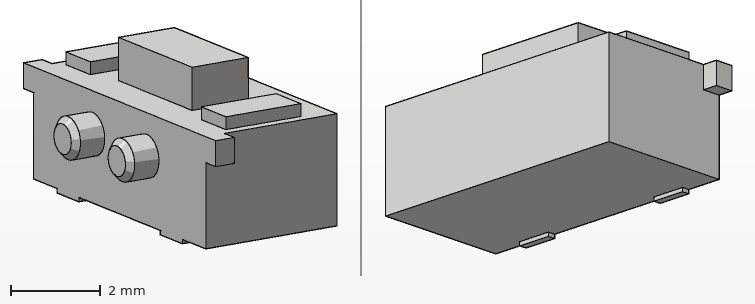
import cadquery as cq

body_width = 7.0
body_depth = 3.5
body_height = 2.6

flange_width = 7.8
flange_depth = 0.5
flange_height = 0.6

top_center_y = 1.7
button_width = 2.995
button_depth = 1.5
button_height = 1.0
pad_width = 1.0
pad_depth = 2.0
pad_height = 0.3
pad_spacing = 5.5

pin_diameter = 1.0
pin_length = 0.795
pin_chamfer = 0.15
pin_spacing = 2.2
pin_z = -1.0

foot_width = 0.9
foot_depth = 0.2
foot_height = 0.1
foot_spacing = 4.2


def block(width, depth, height, x, y_front, z_bottom):
    """Box centred on x, reaching back from y_front and up from z_bottom."""
    box = cq.Workplane("XY").box(width, depth, height, centered=(True, False, False))
    return box.translate((x, y_front, z_bottom))


def top_block(width, depth, height, x):
    """Block standing on the top face, centred on the button row."""
    return block(width, depth, height, x, top_center_y - depth / 2, 0)


def locating_pin(x):
    """Round pin pointing toward -Y with a chamfered tip."""
    pin = cq.Workplane("XZ").center(x, pin_z).circle(pin_diameter / 2).extrude(pin_length)
    return pin.faces("<Y").chamfer(pin_chamfer)


result = block(body_width, body_depth, body_height, 0, 0, -body_height)
result = result.union(block(flange_width, flange_depth, flange_height, 0, 0, -flange_height))
result = result.union(top_block(button_width, button_depth, button_height, 0))

for side in (-1, 1):
    foot_x = side * foot_spacing / 2
    foot_bottom = -body_height - foot_height
    result = result.union(top_block(pad_width, pad_depth, pad_height, side * pad_spacing / 2))
    result = result.union(locating_pin(side * pin_spacing / 2))
    result = result.union(block(foot_width, foot_depth, foot_height, foot_x, 0, foot_bottom))